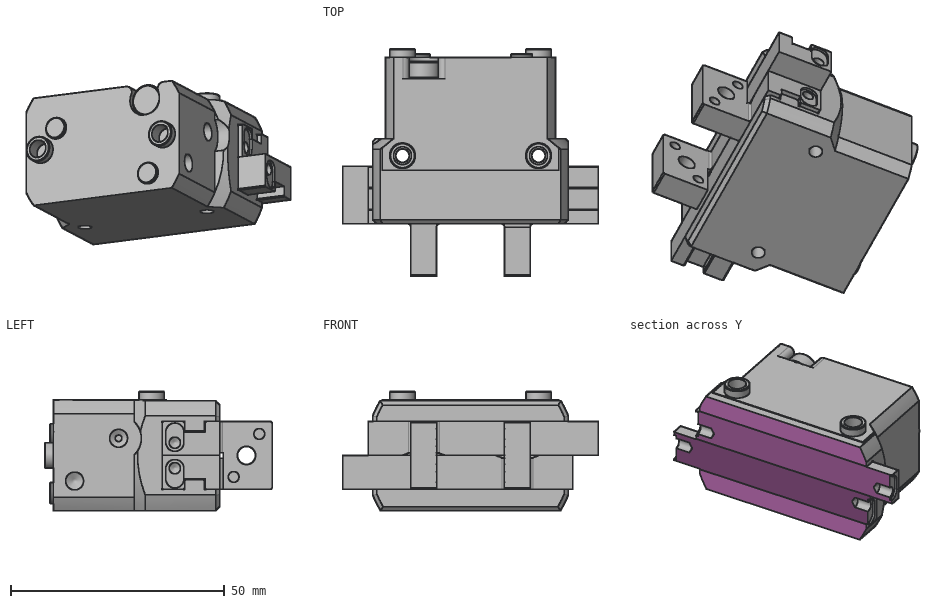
import cadquery as cq
import math


half_height = 13.0
front_top = 12.85
front_half_width = 23.0
front_length = 20.05
front_corner_radius = 24.8
front_chamfer = 1.0
rear_half_width = 20.0
rear_end = 39.05
rear_corner_radius = 22.25
pad_half_width = 20.7
pad_front = 12.6

sleeve_x = 15.95
sleeve_y = 16.0
sleeve_radius = 3
sleeve_height = 2.05
sleeve_bore_radius = 2.1
sleeve_bore_depth = 3.9
sleeve_edge = 0.2
through_radius = 1.55

plug_places = [(12, 4.9), (-12, -8.8)]
plug_radius = 2.5
plug_height = 0.85
plug_edge = 0.2

screw_x = -11.0
screw_z = 9.35
screw_radius = 3.7
screw_length = 4.1
screw_edge = 0.3
notch_depth = 5.0
notch_radius = 3.85
notch_lip_radius = 1.5

port_1 = (23.75, 4.0)
port_2 = (34.1, -6)
port_radius = 2.1
port_depth = 4.8
port_pilot_radius = 0.8
port_pilot_depth = 8.4
port_spotface_radius = 5.35

jaw_short_end = 24
jaw_long_end = 30
jaw_height = 8.0
jaw_depth = 13.55
jaw_edge = 0.3
slot_front = 3.5
slot_rear = 8.3
slot_floor = 5.5
rib_clearance = 0.2
oval_y = 10.55
oval_width = 4.25
oval_low = 0.95
oval_high = 7.6
oval_depth = 0.6
end_hole_z = 3
end_hole_radius = 1.3
end_hole_depth = 3.6

finger_x = -11.0
finger_width = 6.1
finger_tip = 12.3
finger_gap = 0.8
finger_edge = 0.35
neck_fillet = 0.6
neck_bottom = 0.6
relief_half_width = 5.05
relief_height = 1.1
relief_depth = 0.5
center_hole_y = -6.25
center_hole_radius = 2.1
pin_hole_radius = 1.25
pin_hole_offset_y = 3
pin_hole_offset_z = 5.05

drill_half_angle = math.radians(59)


def box(x0, x1, y0, y1, z0, z1):
    """A block between two opposite corners."""
    return cq.Workplane("XY").box(x1 - x0, y1 - y0, z1 - z0, centered=False).translate((x0, y0, z0))


def cylinder(radius, length, start, direction):
    """A cylinder that leaves its start point along the direction."""
    return cq.Workplane(cq.Solid.makeCylinder(radius, length, cq.Vector(*start), cq.Vector(*direction)))


def drilled_hole(radius, depth, start):
    """A blind hole along +X with the cone of a drill point at its end."""
    x, y, z = start
    point_length = radius / math.tan(drill_half_angle)
    point = cq.Solid.makeCone(radius, 0, point_length, cq.Vector(x + depth, y, z), cq.Vector(1, 0, 0))
    return cylinder(radius, depth, start, (1, 0, 0)).union(cq.Workplane(point))


def front_block():
    """Front block with arc corners, a conical rear edge and a raised sleeve pad."""
    cone_depth = front_corner_radius - rear_corner_radius
    round_stock = cylinder(front_corner_radius, front_length, (0, 0, 0), (0, 1, 0))
    envelope = round_stock.faces(">Y").edges().chamfer(cone_depth)
    block = box(-front_half_width, front_half_width, 0, front_length, -half_height, front_top)
    block = block.intersect(round_stock).faces("<Y").edges().chamfer(front_chamfer)
    pad = box(-pad_half_width, pad_half_width, pad_front, front_length, 0, half_height)
    return block.union(pad).intersect(envelope)


def rear_block():
    """Narrower rear block with arc corners, starting at the back of the front block."""
    block = box(-rear_half_width, rear_half_width, front_length, rear_end, -half_height, half_height)
    return block.intersect(cylinder(rear_corner_radius, rear_end, (0, 0, 0), (0, 1, 0)))


def jaw_channel():
    """Channel for both jaws, leaving a guide rib at its top and bottom."""
    width = front_half_width
    channel = box(-width, width, 0, jaw_depth, -jaw_height, jaw_height)
    rib_bottom = slot_floor + rib_clearance
    rib = box(-width, width, slot_front + rib_clearance, slot_rear, rib_bottom, jaw_height)
    rib = rib.edges("|X and <Z").chamfer(rib_clearance)
    return channel.cut(rib).cut(rib.mirror("XY"))


def notch():
    """Round notch in the top rear edge, with rounded lips where it meets the top."""
    center_depth = half_height - screw_z
    reach = notch_radius + notch_lip_radius
    lip_drop = center_depth - notch_lip_radius
    lip_x = math.sqrt(reach ** 2 - lip_drop ** 2)
    lip_angle = math.atan2(lip_drop, lip_x)
    meet_x = notch_radius * math.cos(lip_angle)
    meet_z = notch_radius * math.sin(lip_angle)
    mid_angle = (math.pi / 2 + math.pi + lip_angle) / 2
    mid_x = lip_x + notch_lip_radius * math.cos(mid_angle)
    mid_z = lip_drop + notch_lip_radius * math.sin(mid_angle)
    outline = (
        cq.Workplane("XZ", origin=(screw_x, rear_end, screw_z))
        .moveTo(-lip_x, center_depth)
        .threePointArc((-mid_x, mid_z), (-meet_x, meet_z))
        .threePointArc((0, -notch_radius), (meet_x, meet_z))
        .threePointArc((mid_x, mid_z), (lip_x, center_depth))
        .close()
    )
    return outline.extrude(notch_depth)


def sleeve(start, direction):
    """Solid sleeve blank standing on a housing face, with its outer edge broken."""
    blank = cylinder(sleeve_radius, sleeve_height, start, direction)
    axis = "Z" if direction[2] else "Y"
    return blank.faces(">" + axis).edges().chamfer(sleeve_edge)


def screw_head():
    """Screw head standing on the floor of the notch."""
    head = cylinder(screw_radius, screw_length, (screw_x, rear_end - notch_depth, screw_z), (0, 1, 0))
    return head.faces("<Y or >Y").edges().chamfer(screw_edge)


def make_housing():
    body = front_block().union(rear_block()).cut(jaw_channel())
    body = body.cut(notch()).union(screw_head())

    for x in (-sleeve_x, sleeve_x):
        top = half_height + sleeve_height
        body = body.union(sleeve((x, sleeve_y, half_height), (0, 0, 1)))
        body = body.cut(cylinder(sleeve_bore_radius, sleeve_bore_depth, (x, sleeve_y, top), (0, 0, -1)))
        body = body.cut(cylinder(through_radius, top + half_height, (x, sleeve_y, top), (0, 0, -1)))
        rear = rear_end + sleeve_height
        body = body.union(sleeve((x, rear_end, 0), (0, 1, 0)))
        body = body.cut(cylinder(sleeve_bore_radius, sleeve_bore_depth, (x, rear, 0), (0, -1, 0)))

    for x, z in plug_places:
        plug = cylinder(plug_radius, plug_height, (x, rear_end, z), (0, 1, 0))
        body = body.union(plug.faces(">Y").edges().chamfer(plug_edge))

    for y, z in (port_1, port_2):
        body = body.cut(drilled_hole(port_radius, port_depth, (-rear_half_width, y, z)))
    port_1_start = (-rear_half_width, *port_1)
    body = body.cut(cylinder(port_pilot_radius, port_pilot_depth, port_1_start, (1, 0, 0)))
    overhang = front_half_width - rear_half_width
    return body.cut(cylinder(port_spotface_radius, overhang, port_1_start, (-1, 0, 0)))


def slide():
    """Sliding bar of the upper jaw, with the guide slot in its top."""
    bar = (
        cq.Workplane("YZ", origin=(-jaw_short_end, 0, 0))
        .moveTo(0, 0)
        .lineTo(0, jaw_height)
        .lineTo(slot_front - jaw_edge, jaw_height)
        .lineTo(slot_front, jaw_height - jaw_edge)
        .lineTo(slot_front, slot_floor)
        .lineTo(slot_rear, slot_floor)
        .lineTo(slot_rear, jaw_height - jaw_edge)
        .lineTo(slot_rear + jaw_edge, jaw_height)
        .lineTo(jaw_depth - jaw_edge, jaw_height)
        .lineTo(jaw_depth, jaw_height - jaw_edge)
        .lineTo(jaw_depth, 0)
        .close()
        .extrude(jaw_short_end + jaw_long_end)
    )
    oval = (
        cq.Workplane("YZ")
        .center(oval_y, (oval_low + oval_high) / 2)
        .slot2D(oval_high - oval_low, oval_width, 90)
        .extrude(oval_depth)
    )
    hole = drilled_hole(end_hole_radius, end_hole_depth, (oval_depth, oval_y, end_hole_z))
    recess = oval.union(hole)
    bar = bar.cut(recess.translate((-jaw_short_end, 0, 0)))
    return bar.cut(recess.mirror("YZ").translate((jaw_long_end, 0, 0)))


def finger_neck():
    """Neck joining finger and slide, flared into the slide by a fillet on each side."""
    half = finger_width / 2
    flare = half + neck_fillet
    mid_x = flare - neck_fillet * math.cos(math.pi / 4)
    mid_y = -neck_fillet + neck_fillet * math.sin(math.pi / 4)
    outline = (
        cq.Workplane("XY", origin=(finger_x, 0, neck_bottom))
        .moveTo(-flare, 0)
        .threePointArc((-mid_x, mid_y), (-half, -neck_fillet))
        .lineTo(-half, -finger_gap)
        .lineTo(half, -finger_gap)
        .lineTo(half, -neck_fillet)
        .threePointArc((mid_x, mid_y), (flare, 0))
        .close()
    )
    return outline.extrude(jaw_height - neck_bottom)


def finger():
    """Finger block reaching across both jaws, with its mounting holes."""
    left = finger_x - finger_width / 2
    right = finger_x + finger_width / 2
    block = box(left, right, -finger_tip, -finger_gap, -jaw_height, jaw_height)
    block = block.faces("<Y").edges("|X").chamfer(finger_edge)
    holes = [
        (center_hole_radius, center_hole_y, 0),
        (pin_hole_radius, center_hole_y - pin_hole_offset_y, pin_hole_offset_z),
        (pin_hole_radius, center_hole_y + pin_hole_offset_y, -pin_hole_offset_z),
    ]
    for radius, y, z in holes:
        block = block.cut(cylinder(radius, finger_width, (left, y, z), (1, 0, 0)))
    return block


def neck_relief():
    """Shallow arched relief under the neck, cut into the front of the slide."""
    radius = (relief_half_width ** 2 + relief_height ** 2) / (2 * relief_height)
    return cylinder(radius, relief_depth, (finger_x, 0, relief_height - radius), (0, 1, 0))


def make_jaw(turn):
    """One jaw, turned about the Y axis into its place."""
    body = slide().cut(neck_relief()).union(finger_neck()).union(finger())
    return body.rotate((0, 0, 0), (0, 1, 0), turn)


housing = make_housing()
jaws = [make_jaw(turn) for turn in (0, 180)]

result = cq.Compound.makeCompound([housing.val(), *[jaw.val() for jaw in jaws]])